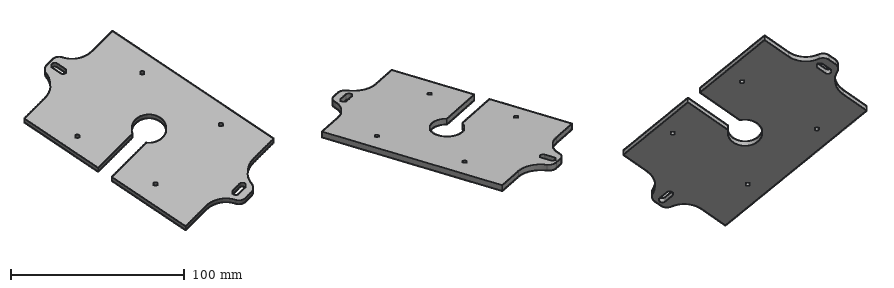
import cadquery as cq
import math

overall_length = 148.0
body_length = 120.0
body_width = 80.0
thickness = 4.0

ear_corner_radius = 5.0
ear_flat_length = 5.0
ear_blend_radius = 15.0

slot_length = 10.0
slot_width = 4.0
slot_offset = 67.0

keyhole_diameter = 20.0
keyhole_slot_width = 10.0

hole_diameter = 2.5
hole_centers = [(-28.0, 28.0), (30.2, 28.4), (-28.4, -30.3), (27.7, -27.8)]


def point_on_circle(center, radius, angle):
    return (center[0] + radius * math.cos(angle), center[1] + radius * math.sin(angle))


def make_ear():
    """Build the +X ear; its corner arcs run tangentially into the body blends."""
    body_end = body_length / 2
    tip = overall_length / 2
    flat_half = ear_flat_length / 2

    corner_center = (tip - ear_corner_radius, flat_half)
    blend_x = body_end + ear_blend_radius
    center_dx = blend_x - corner_center[0]
    center_dy = math.sqrt((ear_corner_radius + ear_blend_radius) ** 2 - center_dx**2)
    blend_center = (blend_x, flat_half + center_dy)
    join_angle = math.atan2(center_dy, center_dx)

    join = point_on_circle(corner_center, ear_corner_radius, join_angle)
    corner_mid = point_on_circle(corner_center, ear_corner_radius, join_angle / 2)
    blend_mid = point_on_circle(blend_center, ear_blend_radius, math.pi + join_angle / 2)
    blend_end = (body_end, blend_center[1])

    def mirrored(point):
        return (point[0], -point[1])

    return (
        cq.Workplane("XY")
        .moveTo(0, -blend_end[1])
        .lineTo(*mirrored(blend_end))
        .threePointArc(mirrored(blend_mid), mirrored(join))
        .threePointArc(mirrored(corner_mid), (tip, -flat_half))
        .lineTo(tip, flat_half)
        .threePointArc(corner_mid, join)
        .threePointArc(blend_mid, blend_end)
        .lineTo(0, blend_end[1])
        .close()
        .extrude(thickness)
    )


def make_slot(x, angle):
    return cq.Workplane("XY").center(x, 0).slot2D(slot_length, slot_width, angle).extrude(thickness)


def make_keyhole():
    slot_depth = body_width / 2
    opening = cq.Workplane("XY").circle(keyhole_diameter / 2).extrude(thickness)
    slot = (
        cq.Workplane("XY")
        .center(0, -slot_depth / 2)
        .rect(keyhole_slot_width, slot_depth)
        .extrude(thickness)
    )
    return opening.union(slot)


right_ear = make_ear()
left_ear = right_ear.mirror("YZ")
plate = cq.Workplane("XY").rect(body_length, body_width).extrude(thickness)
plate = plate.union(right_ear).union(left_ear)

plate = plate.cut(make_slot(-slot_offset, 0))
plate = plate.cut(make_slot(slot_offset, 90))
plate = plate.cut(make_keyhole())

holes = cq.Workplane("XY").pushPoints(hole_centers).circle(hole_diameter / 2).extrude(thickness)
result = plate.cut(holes)